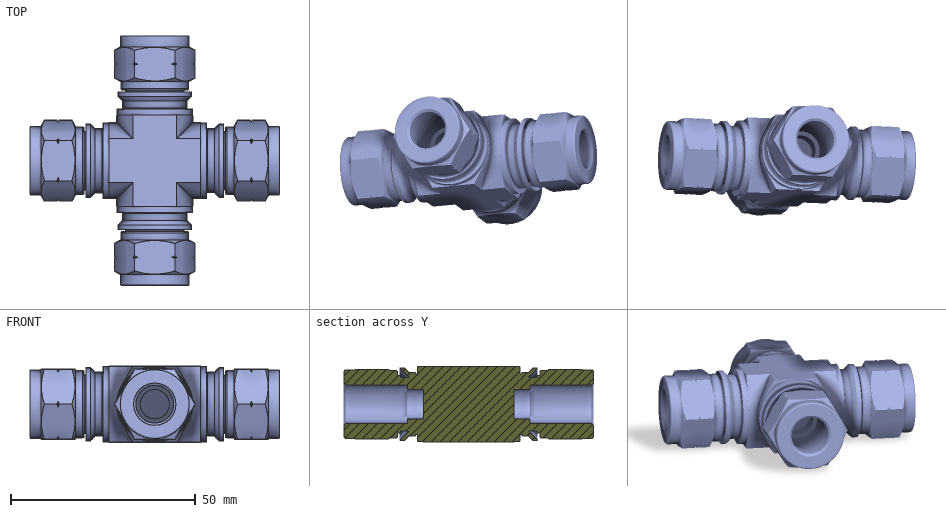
import cadquery as cq
import math

OVERALL_LENGTH = 67.7
END_DISTANCE = OVERALL_LENGTH / 2
PORT_COUNT = 4

BODY_HEIGHT = 20.65
BODY_RADIUS = BODY_HEIGHT / 2
COLLAR_DIAMETER = 20.5
COLLAR_DEPTH = 19.85
COLLAR_LENGTH = 1.6
BRANCH_LENGTH = END_DISTANCE - COLLAR_DEPTH - COLLAR_LENGTH

INNER_GROOVE_DIAMETER = 16.65
INNER_GROOVE_WIDTH = 0.35
SHANK_DIAMETER = 17.4
FLANGE_DIAMETER = 19.9
FLANGE_DEPTH = 15.15
FLANGE_WIDTH = 1.2
FLANGE_TAPER_LENGTH = (FLANGE_DIAMETER - SHANK_DIAMETER) / 2
FLANGE_RIM_WIDTH = 0.2
NECK_DIAMETER = 15.85
NECK_END_DEPTH = 15.45
RELIEF_DIAMETER = 14.6

NUT_LENGTH = 14.6
NUT_FRONT_DIAMETER = 18.7
NUT_FRONT_FILLET = 0.5
NUT_BACK_DIAMETER = 18.4
NUT_BACK_CHAMFER_HEIGHT = 0.2
NUT_BACK_CHAMFER_LENGTH = 0.4
HEX_START_DEPTH = 3.0
HEX_END_DEPTH = 12.3
HEX_ACROSS_FLATS = 19.0
HEX_ACROSS_CORNERS = HEX_ACROSS_FLATS / math.cos(math.radians(30))
HEX_CHAMFER_ANGLE = 30.0
MARK_DEPTH = 7.65
MARK_HALF_WIDTH = 0.35
MARK_CUT = 0.4

BORE_DIAMETER = 10.2
BORE_END_DEPTH = 17.2
MOUTH_DIAMETER = 11.45
MOUTH_CHAMFER_LENGTH = (MOUTH_DIAMETER - BORE_DIAMETER) / 2
INNER_BORE_DIAMETER = 7.9
INNER_BORE_END_DEPTH = COLLAR_DEPTH + COLLAR_LENGTH


def revolve_profile(points):
    """Revolve (radius, depth) points about the +X port axis."""
    stations = [(END_DISTANCE - depth, radius) for radius, depth in points]
    return cq.Workplane("XY").polyline(stations).close().revolve(360, (0, 0, 0), (1, 0, 0))


def make_branch():
    """Prismatic body branch along +X, starting at the centre of the cross."""
    flat_half_width = BODY_RADIUS * math.tan(math.radians(30))
    tangent_y = BODY_RADIUS * math.cos(math.radians(30))
    tangent_z = BODY_RADIUS * math.sin(math.radians(30))
    return (
        cq.Workplane("YZ")
        .moveTo(-flat_half_width, BODY_RADIUS)
        .lineTo(flat_half_width, BODY_RADIUS)
        .lineTo(tangent_y, tangent_z)
        .threePointArc((BODY_RADIUS, 0), (tangent_y, -tangent_z))
        .lineTo(flat_half_width, -BODY_RADIUS)
        .lineTo(-flat_half_width, -BODY_RADIUS)
        .lineTo(-tangent_y, -tangent_z)
        .threePointArc((-BODY_RADIUS, 0), (-tangent_y, tangent_z))
        .close()
        .extrude(BRANCH_LENGTH)
    )


def make_turned_port():
    """Collar, shank, flange with a 45-degree dished front, neck and round part of the nut."""
    shank_end = COLLAR_DEPTH - INNER_GROOVE_WIDTH
    flange_back = FLANGE_DEPTH + FLANGE_WIDTH
    dish_radius = FLANGE_DIAMETER / 2 - FLANGE_RIM_WIDTH
    nut_front_radius = NUT_FRONT_DIAMETER / 2
    nut_back_radius = NUT_BACK_DIAMETER / 2
    nut_step_depth = (HEX_START_DEPTH + HEX_END_DEPTH) / 2
    turned = revolve_profile([
        (0, COLLAR_DEPTH + COLLAR_LENGTH),
        (COLLAR_DIAMETER / 2, COLLAR_DEPTH + COLLAR_LENGTH),
        (COLLAR_DIAMETER / 2, COLLAR_DEPTH),
        (INNER_GROOVE_DIAMETER / 2, COLLAR_DEPTH),
        (INNER_GROOVE_DIAMETER / 2, shank_end),
        (SHANK_DIAMETER / 2, shank_end),
        (SHANK_DIAMETER / 2, flange_back + FLANGE_TAPER_LENGTH),
        (FLANGE_DIAMETER / 2, flange_back),
        (FLANGE_DIAMETER / 2, FLANGE_DEPTH),
        (dish_radius, FLANGE_DEPTH),
        (RELIEF_DIAMETER / 2, FLANGE_DEPTH + dish_radius - RELIEF_DIAMETER / 2),
        (RELIEF_DIAMETER / 2, NECK_END_DEPTH),
        (NECK_DIAMETER / 2, NECK_END_DEPTH),
        (NECK_DIAMETER / 2, NUT_LENGTH),
        (nut_back_radius - NUT_BACK_CHAMFER_HEIGHT, NUT_LENGTH),
        (nut_back_radius, NUT_LENGTH - NUT_BACK_CHAMFER_LENGTH),
        (nut_back_radius, nut_step_depth),
        (nut_front_radius, nut_step_depth),
        (nut_front_radius, 0),
        (0, 0),
    ])
    return turned.faces(">X").edges().fillet(NUT_FRONT_FILLET)


def make_nut_hex():
    """Hexagon with flats facing +Z and -Z, chamfered corners and a marking groove."""
    hexagon = (
        cq.Workplane("YZ")
        .workplane(offset=END_DISTANCE - HEX_END_DEPTH)
        .polygon(6, HEX_ACROSS_CORNERS)
        .extrude(HEX_END_DEPTH - HEX_START_DEPTH)
    )
    corner_radius = HEX_ACROSS_CORNERS / 2
    base_radius = NUT_FRONT_DIAMETER / 2
    chamfer_length = (corner_radius - base_radius) * math.tan(math.radians(HEX_CHAMFER_ANGLE))
    envelope = revolve_profile([
        (0, HEX_START_DEPTH),
        (base_radius, HEX_START_DEPTH),
        (corner_radius, HEX_START_DEPTH + chamfer_length),
        (corner_radius, MARK_DEPTH - MARK_HALF_WIDTH),
        (corner_radius - MARK_CUT, MARK_DEPTH),
        (corner_radius, MARK_DEPTH + MARK_HALF_WIDTH),
        (corner_radius, HEX_END_DEPTH - chamfer_length),
        (base_radius, HEX_END_DEPTH),
        (0, HEX_END_DEPTH),
    ])
    return hexagon.intersect(envelope)


def make_bore():
    """Stepped blind bore with a chamfered mouth."""
    return revolve_profile([
        (0, 0),
        (MOUTH_DIAMETER / 2, 0),
        (BORE_DIAMETER / 2, MOUTH_CHAMFER_LENGTH),
        (BORE_DIAMETER / 2, BORE_END_DEPTH),
        (INNER_BORE_DIAMETER / 2, BORE_END_DEPTH),
        (INNER_BORE_DIAMETER / 2, INNER_BORE_END_DEPTH),
        (0, INNER_BORE_END_DEPTH),
    ])


def turn_to_port(shape, index):
    """Turn a +X shape about Z to the port with the given index."""
    return shape.rotate((0, 0, 0), (0, 0, 1), index * 360 / PORT_COUNT)


branch = make_branch()
port = make_turned_port().union(make_nut_hex()).cut(make_bore())

result = branch
for index in range(1, PORT_COUNT):
    result = result.union(turn_to_port(branch, index))
for index in range(PORT_COUNT):
    result = result.union(turn_to_port(port, index))